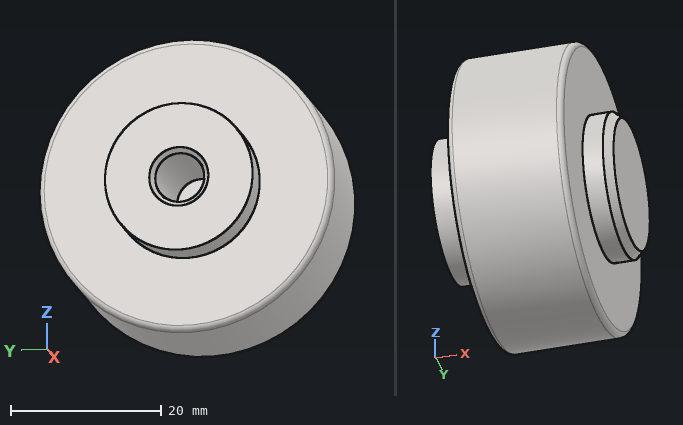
import cadquery as cq

wheel_diameter = 40.0
wheel_width = 16.0
rim_fillet = 0.8
hub_diameter = 20.0
left_hub_length = 5.0
right_hub_length = 4.0
hub_chamfer_length = 1.2
hub_chamfer_depth = 1.0

bore_diameter = 6.65
bore_mouth_diameter = 8.0
bore_depth = 16.0
bore_chamfer = (bore_mouth_diameter - bore_diameter) / 2

wheel_left = -wheel_width / 2
wheel_right = wheel_width / 2
left_end = wheel_left - left_hub_length


def cylinder(start_x, diameter, length):
    """Solid cylinder along +X, starting at start_x."""
    return cq.Workplane("YZ", origin=(start_x, 0, 0)).circle(diameter / 2).extrude(length)


def make_wheel():
    """Wheel disc with both rim edges rounded."""
    return cylinder(wheel_left, wheel_diameter, wheel_width).edges().fillet(rim_fillet)


def make_right_hub():
    """Right hub with a chamfered outer end."""
    hub = cylinder(wheel_right, hub_diameter, right_hub_length)
    return hub.faces(">X").chamfer(hub_chamfer_length, hub_chamfer_depth)


def make_bore():
    """Blind bore with a flat bottom and a countersunk mouth."""
    return (
        cq.Workplane("XY")
        .moveTo(left_end, 0)
        .lineTo(left_end, bore_mouth_diameter / 2)
        .lineTo(left_end + bore_chamfer, bore_diameter / 2)
        .lineTo(left_end + bore_depth, bore_diameter / 2)
        .lineTo(left_end + bore_depth, 0)
        .close()
        .revolve(360, (0, 0, 0), (1, 0, 0))
    )


left_hub = cylinder(left_end, hub_diameter, left_hub_length)
result = make_wheel().union(left_hub).union(make_right_hub()).cut(make_bore())